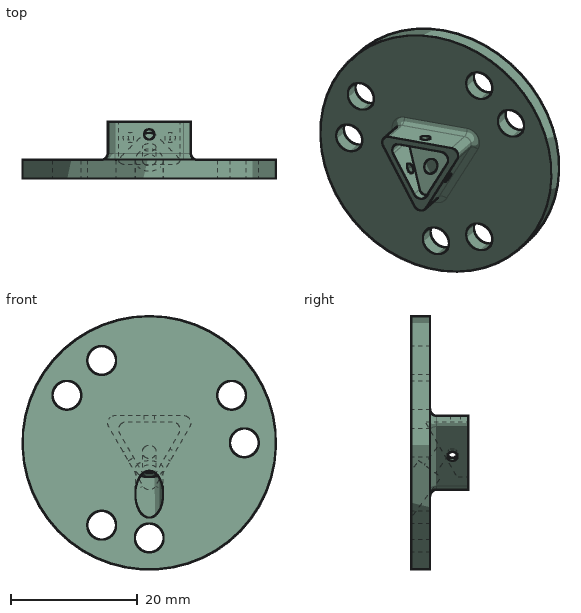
import cadquery as cq
import math

disc_diameter = 40.0
disc_thickness = 3.0

mount_hole_diameter = 4.5
mount_circle_radius = 15.0
mount_hole_angles = (0, 30, 120, 150, 240, 270)

boss_height = 6.0
boss_inradius = 4.28
corner_radius = 1.15
pocket_corner_radius = 1.2
boss_base_fillet = 1.0
wall_thickness = 0.98
pocket_inradius = boss_inradius - wall_thickness
boss_top_y = disc_thickness + boss_height

floor_center_y = 4.12
floor_tilt = 30.0

wall_hole_diameter = 1.62
wall_holes_y = {90: 7.0, 210: 6.5, 330: 6.5}

screw_hole_diameter = 2.2
screw_head_diameter = 4.4
screw_angle = 53.5
screw_entry_z = -8.1
screw_head_depth = 4.95


def rounded_triangle(inradius, radius, start_y, end_y):
    """Prism along Y with an equilateral outline, one corner toward -Z."""
    circumradius = 2 * inradius
    corners = []
    for angle in (30, 150, 270):
        x = circumradius * math.cos(math.radians(angle))
        z = circumradius * math.sin(math.radians(angle))
        corners.append((x, z))
    prism = cq.Workplane("XZ", origin=(0, start_y, 0)).polyline(corners).close().extrude(start_y - end_y)
    return prism.edges("|Y").fillet(radius)


def cylinder(diameter, start, direction, length):
    return cq.Workplane(cq.Solid.makeCylinder(diameter / 2, length, cq.Vector(*start), cq.Vector(*direction)))


def disc_with_boss():
    disc = cylinder(disc_diameter, (0, 0, 0), (0, 1, 0), disc_thickness)
    body = disc.union(rounded_triangle(boss_inradius, corner_radius, disc_thickness, boss_top_y))
    reach = 2 * boss_inradius
    margin = boss_base_fillet / 2
    boss_base = cq.selectors.BoxSelector(
        (-reach, disc_thickness - margin, -reach), (reach, disc_thickness + margin, reach), boundingbox=True
    )
    return body.edges(boss_base).fillet(boss_base_fillet)


def mounting_holes():
    holes = cq.Workplane()
    for angle in mount_hole_angles:
        x = mount_circle_radius * math.cos(math.radians(angle))
        z = mount_circle_radius * math.sin(math.radians(angle))
        holes = holes.add(cylinder(mount_hole_diameter, (x, 0, z), (0, 1, 0), disc_thickness))
    return holes.combine()


def pocket():
    """Triangular pocket, open at the back, trimmed by the tilted floor plane."""
    prism = rounded_triangle(pocket_inradius, pocket_corner_radius, 0, boss_top_y)
    above_floor = (
        cq.Workplane("XY")
        .box(disc_diameter, disc_diameter, disc_diameter, centered=(True, False, True))
        .rotate((0, 0, 0), (1, 0, 0), floor_tilt)
        .translate((0, floor_center_y, 0))
    )
    return prism.intersect(above_floor)


def wall_holes():
    holes = cq.Workplane()
    for angle, hole_y in wall_holes_y.items():
        direction = (math.cos(math.radians(angle)), 0, math.sin(math.radians(angle)))
        start = [pocket_inradius / 2 * part for part in direction]
        start[1] = hole_y
        holes = holes.add(cylinder(wall_hole_diameter, start, direction, boss_inradius))
    return holes.combine()


def screw_hole():
    tilt = math.radians(screw_angle)
    direction = (0, math.cos(tilt), math.sin(tilt))

    def axis_point(distance):
        return (0, distance * direction[1], screw_entry_z + distance * direction[2])

    lead = screw_head_diameter * math.tan(tilt)
    head = cylinder(screw_head_diameter, axis_point(-lead), direction, lead + screw_head_depth)
    floor_slope = math.tan(math.radians(floor_tilt))
    to_floor = (floor_center_y - floor_slope * screw_entry_z) / (direction[1] + floor_slope * direction[2])
    shank = cylinder(screw_hole_diameter, axis_point(0), direction, to_floor + screw_hole_diameter / 2)
    return head.union(shank)


result = (
    disc_with_boss()
    .cut(mounting_holes())
    .cut(pocket())
    .cut(wall_holes())
    .cut(screw_hole())
)